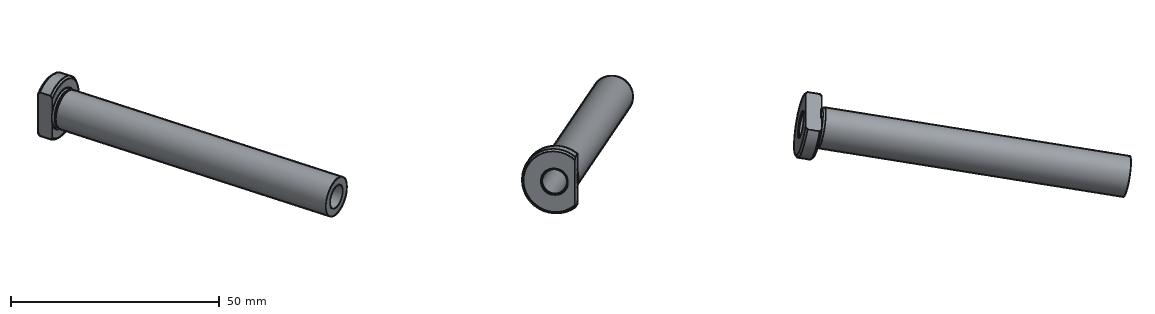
import cadquery as cq
import math

total_length = 80.0
shank_diameter = 10.0
bore_diameter = 6.0
bore_chamfer = 0.3

head_diameter = 16.0
head_thickness = 4.0
head_chamfer = 0.5
flat_offset = shank_diameter / 2

groove_diameter = 9.3
groove_end = 1.0
groove_face_depth = 0.2
groove_face_radius = 5.3
groove_corner_radius = 0.3
groove_ramp_angle = 30.0


def cylinder(diameter, start, length):
    return cq.Workplane("YZ").workplane(offset=start).circle(diameter / 2).extrude(length)


def make_head():
    head = cylinder(head_diameter, 0, head_thickness).faces("<X or >X").chamfer(head_chamfer)
    waste = (
        cq.Workplane("XY")
        .box(head_thickness, head_diameter, head_diameter, centered=(False, False, True))
        .translate((0, -flat_offset - head_diameter, 0))
    )
    return head.cut(waste)


def make_relief_groove():
    shank_radius = shank_diameter / 2
    floor_radius = groove_diameter / 2
    groove_start = head_thickness - groove_face_depth
    ramp_end = head_thickness + groove_end
    ramp_length = (shank_radius - floor_radius) / math.tan(math.radians(groove_ramp_angle))
    arc_inset = groove_corner_radius * (1 - math.sqrt(0.5))
    profile = (
        cq.Workplane("XY")
        .moveTo(ramp_end, shank_radius)
        .lineTo(ramp_end - ramp_length, floor_radius)
        .lineTo(groove_start + groove_corner_radius, floor_radius)
        .threePointArc(
            (groove_start + arc_inset, floor_radius + arc_inset),
            (groove_start, floor_radius + groove_corner_radius),
        )
        .lineTo(head_thickness, groove_face_radius)
        .lineTo(ramp_end, groove_face_radius)
        .close()
    )
    return profile.revolve(360, (0, 0, 0), (1, 0, 0))


def make_bore():
    bore = cylinder(bore_diameter, 0, total_length)
    bore_radius = bore_diameter / 2
    origin = cq.Vector(0, 0, 0)
    x_axis = cq.Vector(1, 0, 0)
    mouth = cq.Solid.makeCone(bore_radius + bore_chamfer, bore_radius, bore_chamfer, origin, x_axis)
    return bore.union(cq.Workplane(mouth))


shank = cylinder(shank_diameter, 0, total_length)
result = make_head().union(shank).cut(make_relief_groove()).cut(make_bore())